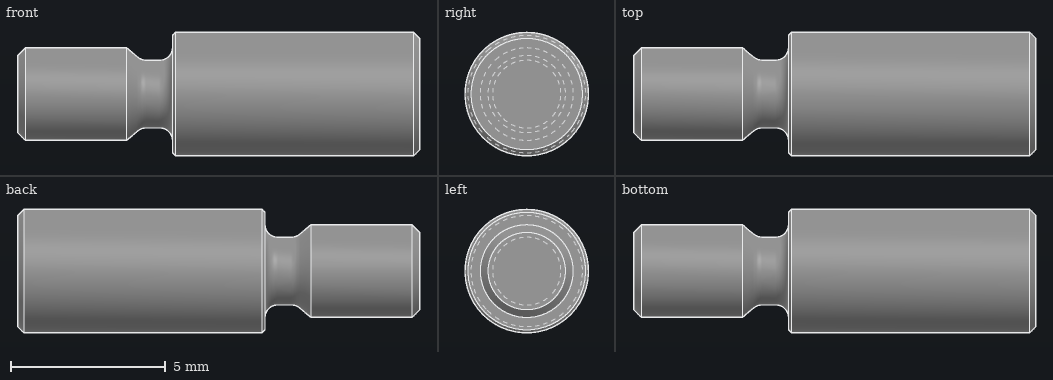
import cadquery as cq
import math

total_length = 13.0
shoulder_x = 5.0
body_radius = 2.0
journal_radius = 1.5
neck_radius = 1.1

journal_chamfer = 0.25
shoulder_chamfer = 0.1
body_end_chamfer = 0.2

neck_length = 1.0
taper_angle = math.radians(40)
neck_fillet = 0.4

taper_corner_x = shoulder_x - neck_length
taper_start_x = taper_corner_x - (journal_radius - neck_radius) / math.tan(taper_angle)

fillet_center_r = neck_radius + neck_fillet
taper_end_r = fillet_center_r - neck_fillet * math.cos(taper_angle)
taper_end_x = taper_start_x + (journal_radius - taper_end_r) / math.tan(taper_angle)
neck_start_x = taper_end_x + neck_fillet * math.sin(taper_angle)
neck_end_x = shoulder_x - neck_fillet


def fillet_point(center_x, angle):
    """Point on a neck fillet, at a signed angle from straight down toward the axis."""
    x = center_x + neck_fillet * math.sin(angle)
    r = fillet_center_r - neck_fillet * math.cos(angle)
    return (x, r)


def make_half_profile():
    """Closed half section of the pin, with radius measured along Z."""
    return (
        cq.Workplane("XZ")
        .moveTo(0, 0)
        .lineTo(0, journal_radius - journal_chamfer)
        .lineTo(journal_chamfer, journal_radius)
        .lineTo(taper_start_x, journal_radius)
        .lineTo(taper_end_x, taper_end_r)
        .threePointArc(fillet_point(neck_start_x, -taper_angle / 2), (neck_start_x, neck_radius))
        .lineTo(neck_end_x, neck_radius)
        .threePointArc(fillet_point(neck_end_x, math.pi / 4), (shoulder_x, fillet_center_r))
        .lineTo(shoulder_x, body_radius - shoulder_chamfer)
        .lineTo(shoulder_x + shoulder_chamfer, body_radius)
        .lineTo(total_length - body_end_chamfer, body_radius)
        .lineTo(total_length, body_radius - body_end_chamfer)
        .lineTo(total_length, 0)
        .close()
    )


result = make_half_profile().revolve(360, (0, 0, 0), (1, 0, 0))